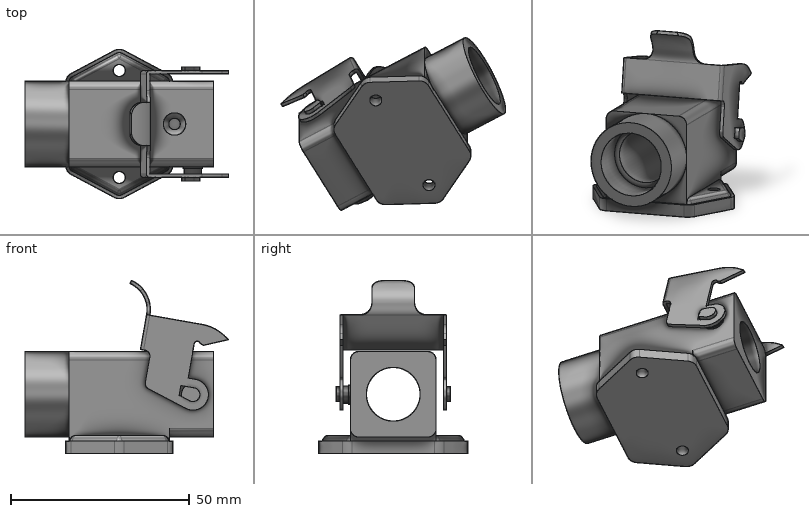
import cadquery as cq
import math

tube_length = 12.45
tube_radius = 12.05
inlet_radius = 9.0
inlet_depth = 11.0
bore_radius = 7.5
axis_z = 16.7

body_end_x = 53.1
body_half_width = tube_radius
body_length = body_end_x - tube_length
body_corner_radius = 2.4
foot_length = 28.2
screw_x = 42.1
screw_radius = 3.15
screw_floor_radius = 1.6

flange_height = 3.5
flange_x = tube_length + foot_length / 2
flange_half_length = 15.1
flange_apex_y = 21.4
flange_shoulder_y = 13.35
flange_corner_radius = 3.0
tier_inset = 1.0
tier_height = 1.6
tier_corner_radius = 1.7
tier_edge_radius = 1.4
tier_draft = 30
mount_hole_y = 15.0
mount_hole_radius = 1.65

pivot_x = 47.25
pivot_z = 16.55
lever_tilt = 10
sheet = 1.0
lever_half_width = 15.0
plate_back = -16.75
plate_front = plate_back + sheet
plate_bottom = 9.9
lever_top = 19.9
bend_radius = 0.9
arm_back = -13.75
arm_front = -2.1
relief_radius = 1.6
heel_radius = 1.7
eye_radius = 4.35
sole_angle = math.radians(17.7)
hook_arc_start = -0.85
hook_arc_radius = 12.0
hook_arc_angle = math.radians(30)
hook_tip = (7.2, 17.0)
hook_heel = (0.45, 14.1)
notch_radius = 0.85
notch_z = 14.1

tab_half_width = 6.0
tab_radius = 9.0
tab_center = (plate_front - tab_radius, lever_top)
tab_sweep = math.radians(76)
tab_corner_radius = 3.9
tab_flare_radius = 3.3

pin_radius = 1.95
slot_back = -3.8
pin_head_radius = 3.2
pin_end_y = 16.05
collar_radius = 2.75
collar_length = 0.5
neck_radius = 2.45

UP = math.pi / 2


def polar(radius, angle, center=(0, 0)):
    return (center[0] + radius * math.cos(angle), center[1] + radius * math.sin(angle))


def tube_cylinder(radius, x_start, x_end):
    plane = cq.Workplane("YZ", origin=(x_start, 0, axis_z))
    return plane.circle(radius).extrude(x_end - x_start)


def hexagon(inset, height, corner_radius, draft=0):
    """Elongated hexagon block whose foot lies `inset` inside the flange outline."""
    slope = math.atan2(flange_apex_y - flange_shoulder_y, flange_half_length)
    half_length = flange_half_length - inset
    apex = flange_apex_y - inset / math.cos(slope)
    shoulder = apex - half_length * math.tan(slope)
    outline = [
        (half_length, -shoulder), (half_length, shoulder), (0, apex),
        (-half_length, shoulder), (-half_length, -shoulder), (0, -apex),
    ]
    sketch = cq.Sketch().polygon(outline + outline[:1]).vertices().fillet(corner_radius)
    return cq.Workplane("XY", origin=(flange_x, 0, 0)).placeSketch(sketch).extrude(height, taper=draft)


def make_flange():
    tier = hexagon(tier_inset, tier_height, tier_corner_radius, tier_draft)
    tier = tier.translate((0, 0, flange_height))
    tier = tier.faces(">Z").edges().fillet(tier_edge_radius)
    flange = hexagon(0, flange_height, flange_corner_radius).union(tier)
    holes = cq.Workplane("XY").pushPoints([(flange_x, mount_hole_y), (flange_x, -mount_hole_y)])
    return flange.cut(holes.circle(mount_hole_radius).extrude(flange_height + tier_height))


def make_housing():
    block = cq.Workplane("YZ", origin=(tube_length, 0, axis_z))
    block = block.rect(2 * body_half_width, 2 * body_half_width).extrude(body_length)
    block = block.edges("|X").fillet(body_corner_radius)
    foot = cq.Workplane("XY").box(
        foot_length, 2 * body_half_width, axis_z, centered=(False, True, False)
    ).translate((tube_length, 0, 0))
    housing = block.union(foot).union(make_flange())
    housing = housing.union(tube_cylinder(tube_radius, 0, tube_length))
    housing = housing.cut(tube_cylinder(inlet_radius, 0, inlet_depth))
    housing = housing.cut(tube_cylinder(bore_radius, 0, body_end_x))

    screw_depth = screw_radius - screw_floor_radius
    screw_seat = cq.Solid.makeCone(
        screw_floor_radius, screw_radius, screw_depth,
        pnt=cq.Vector(screw_x, 0, axis_z + body_half_width - screw_depth),
    )
    return housing.cut(cq.Workplane(screw_seat))


def upright():
    return cq.Workplane("XZ")


def sole_point(radius, x):
    """Point at x on the sole-angled line that touches a circle around the pivot from below."""
    return (x, -radius / math.cos(sole_angle) - x * math.tan(sole_angle))


def make_folded_sheet():
    """Back plate with a hooked arm folded forward at each end."""
    hook_center = (hook_arc_start, lever_top - hook_arc_radius)
    notch_center = (arm_front + notch_radius, notch_z)
    relief_center = (arm_back - relief_radius, plate_bottom - relief_radius)
    block = (
        upright()
        .moveTo(plate_back, plate_bottom)
        .lineTo(plate_back, lever_top)
        .lineTo(hook_arc_start, lever_top)
        .threePointArc(
            polar(hook_arc_radius, UP - hook_arc_angle / 2, hook_center),
            polar(hook_arc_radius, UP - hook_arc_angle, hook_center),
        )
        .lineTo(*hook_tip)
        .lineTo(*hook_heel)
        .lineTo(*polar(notch_radius, UP / 3, notch_center))
        .threePointArc(polar(notch_radius, UP, notch_center), (arm_front, notch_z))
        .lineTo(arm_front, eye_radius)
        .lineTo(0, eye_radius)
        .threePointArc((eye_radius, 0), polar(eye_radius, -UP - sole_angle))
        .lineTo(*sole_point(eye_radius, arm_back))
        .lineTo(arm_back, relief_center[1])
        .threePointArc(polar(relief_radius, UP / 2, relief_center), (relief_center[0], plate_bottom))
        .close()
        .extrude(lever_half_width, both=True)
    )
    heel_x, heel_z = sole_point(eye_radius, arm_back)
    block = block.edges(cq.selectors.NearestToPointSelector((heel_x, 0, heel_z))).fillet(heel_radius)
    block = block.faces("<X").edges("|Z").fillet(bend_radius)
    room = cq.Workplane("XY").box(
        2 * lever_top, 2 * (lever_half_width - sheet), 4 * lever_top, centered=(False, True, True)
    )
    return block.cut(room.translate((plate_front, 0, 0)))


def tab_strip(half_width):
    """Full-length strip of the curled finger tab."""
    inner_radius = tab_radius - sheet
    return (
        upright()
        .moveTo(plate_front, lever_top)
        .threePointArc(
            polar(tab_radius, tab_sweep / 2, tab_center),
            polar(tab_radius, tab_sweep, tab_center),
        )
        .lineTo(*polar(inner_radius, tab_sweep, tab_center))
        .threePointArc(
            polar(inner_radius, tab_sweep / 2, tab_center),
            (plate_back, lever_top),
        )
        .close()
        .extrude(half_width, both=True)
    )


def make_tab():
    round_angle = tab_corner_radius / tab_radius
    mid_angle = tab_sweep - round_angle / 2
    tip_offset = tab_radius * math.sin(round_angle / 2)
    corner_plane = cq.Plane(
        origin=(tab_center[0], 0, tab_center[1]),
        xDir=(0, 1, 0),
        normal=(math.cos(mid_angle), 0, math.sin(mid_angle)),
    )
    outline_length = 2 * tab_radius
    outline = (
        cq.Workplane(corner_plane)
        .center(0, tip_offset - outline_length / 2)
        .rect(2 * tab_half_width, outline_length)
        .extrude(outline_length)
        .edges(cq.selectors.ParallelDirSelector(corner_plane.zDir))
        .fillet(tab_corner_radius)
    )
    tab = tab_strip(tab_half_width).intersect(outline)

    flare_y = tab_half_width + tab_flare_radius
    flare_top = lever_top + tab_flare_radius
    flare = (
        cq.Workplane("YZ", origin=(2 * plate_back, 0, 0))
        .moveTo(-flare_y, lever_top)
        .radiusArc((-tab_half_width, flare_top), -tab_flare_radius)
        .lineTo(tab_half_width, flare_top)
        .radiusArc((flare_y, lever_top), -tab_flare_radius)
        .close()
        .extrude(-2 * plate_back)
    )
    return tab.union(tab_strip(flare_y).intersect(flare))


def pin_slot(y_start, y_end):
    """Round hole widened backward into a wedge along the arm's top and sole."""
    return (
        cq.Workplane("XZ", origin=(0, y_start, 0))
        .moveTo(slot_back, pin_radius)
        .lineTo(0, pin_radius)
        .threePointArc((pin_radius, 0), polar(pin_radius, -UP - sole_angle))
        .lineTo(*sole_point(pin_radius, slot_back))
        .close()
        .extrude(y_start - y_end)
    )


def pivot_cylinder(radius, y_start, y_end):
    return cq.Workplane("XZ", origin=(0, y_start, 0)).circle(radius).extrude(y_start - y_end)


def make_lever():
    inner_y = lever_half_width - sheet
    lever = make_folded_sheet().union(make_tab())
    lever = lever.cut(pin_slot(-lever_half_width, lever_half_width))
    for y_start, y_end in ((-pin_end_y, -inner_y), (inner_y, pin_end_y)):
        pin = pin_slot(y_start, y_end).intersect(pivot_cylinder(pin_head_radius, y_start, y_end))
        lever = lever.union(pin)
    collar_end_y = -body_half_width - collar_length
    lever = lever.union(pivot_cylinder(collar_radius, collar_end_y, -body_half_width))
    lever = lever.union(pivot_cylinder(neck_radius, -inner_y, -body_half_width))
    return lever.rotate((0, 0, 0), (0, 1, 0), lever_tilt).translate((pivot_x, 0, pivot_z))


result = make_housing().union(make_lever())